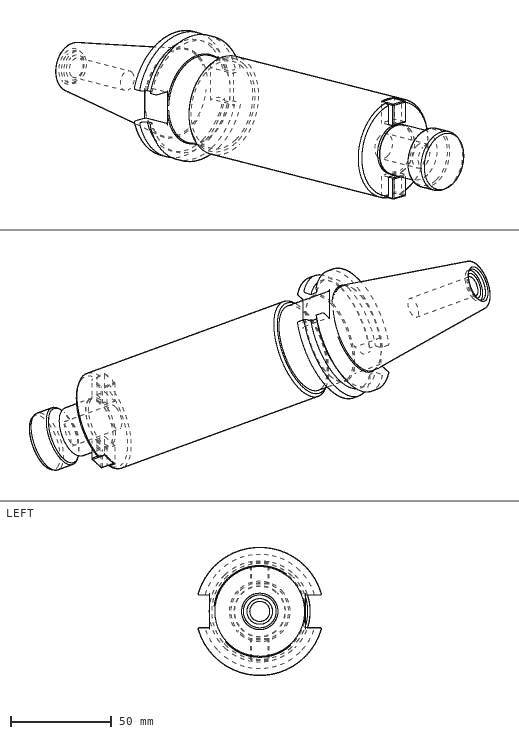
import cadquery as cq
import math

TAPER_END = 68.5
FLANGE_START = 71.5
FLANGE_END = 87.0
NECK_END = 102.7
BARREL_END = 220.7
RELIEF_END = 222.2
PILOT_END = 238.5
HEAD_START = 243.0
HEAD_END = 254.2

GAUGE_DIAMETER = 44.5
TAPER_RATIO = 7 / 24
FLANGE_DIAMETER = 63.5
BARREL_DIAMETER = 50.0
RELIEF_DIAMETER = 25.0
PILOT_DIAMETER = 25.5

TAPER_TIP_FILLET = 2.0
FLANGE_FILLET = 0.8
FLANGE_ROOT_FILLET = 0.5
BARREL_CHAMFER = 1.3
PILOT_FILLET = 1.8

GROOVE_CENTER = (FLANGE_START + FLANGE_END) / 2
GROOVE_FLOOR_WIDTH = 3.3
GROOVE_FLOOR_DIAMETER = 56.7
GROOVE_FLANK_ANGLE = 30

SLOT_WIDTH = 16.0
SLOT_FLOOR_FRONT = 22.6
SLOT_FLOOR_BACK = 25.0

MOUTH_DIAMETER = 18.0
COUNTERBORE_DIAMETER = 16.3
COUNTERBORE_DEPTH = 2.5
THREAD_MOUTH_DIAMETER = 12.7
THREAD_HOLE_DIAMETER = 10.0
THREAD_LEAD_IN_LENGTH = 0.8
DRAWBAR_HOLE_DEPTH = 38.1

KEY_START = 216.0
KEY_END = 224.0
KEY_WIDTH = 9.5
KEY_INNER = 13.5
KEY_OUTER = 24.5
KEY_CHAMFER = 0.5

SHANK_DIAMETER = 12.7
SHANK_DEPTH = 25.5
HEAD_DIAMETER = 30.0
HEAD_BACK_CHAMFER = 0.8
HEAD_FRONT_CHAMFER_LENGTH = 1.5
HEAD_FRONT_CHAMFER_DEPTH = 0.8
SHANK_ROOT_FILLET = 0.8

PICK_MARGIN = 1.3
STATION_TOLERANCE = 0.03


def cylinder(diameter, start, end):
    """Round bar along X between two stations."""
    return cq.Workplane("YZ", origin=(start, 0, 0)).circle(diameter / 2).extrude(end - start)


def cone(start_diameter, end_diameter, start, end):
    """Tapered round bar along X between two stations."""
    profile = [(start, 0), (end, 0), (end, end_diameter / 2), (start, start_diameter / 2)]
    return cq.Workplane("XY").polyline(profile).close().revolve(360, (0, 0, 0), (1, 0, 0))


def make_taper():
    tip_diameter = GAUGE_DIAMETER - TAPER_RATIO * TAPER_END
    taper = cone(tip_diameter, GAUGE_DIAMETER, 0, TAPER_END)
    return taper.faces("<X").edges().fillet(TAPER_TIP_FILLET)


def make_groove():
    """Ring with sloping flanks that is cut from the flange rim."""
    floor = GROOVE_FLOOR_DIAMETER / 2
    rim = FLANGE_DIAMETER / 2
    half_floor = GROOVE_FLOOR_WIDTH / 2
    half_rim = half_floor + (rim - floor) * math.tan(math.radians(GROOVE_FLANK_ANGLE))
    profile = [
        (GROOVE_CENTER - half_floor, floor),
        (GROOVE_CENTER + half_floor, floor),
        (GROOVE_CENTER + half_rim, rim),
        (GROOVE_CENTER - half_rim, rim),
    ]
    return cq.Workplane("XY").polyline(profile).close().revolve(360, (0, 0, 0), (1, 0, 0))


def make_driving_slot(side, floor):
    """Block that opens one driving slot, across the flange and its root fillets."""
    length = FLANGE_END - FLANGE_START + 2 * FLANGE_ROOT_FILLET
    depth = FLANGE_DIAMETER / 2 - floor
    middle = (GROOVE_CENTER, side * (floor + depth / 2), 0)
    return cq.Workplane(origin=middle).box(length, depth, SLOT_WIDTH)


def is_flange_rim_edge(edge):
    """True for the outer edges of the flange and of its slots, false for the slot floors and roots."""
    x = edge.Center().x
    in_flange = FLANGE_START - STATION_TOLERANCE <= x <= FLANGE_END + STATION_TOLERANCE
    is_root = edge.geomType() == "CIRCLE" and edge.radius() < SLOT_FLOOR_BACK
    reach = max(abs(vertex.Y) for vertex in edge.Vertices())
    return in_flange and not is_root and reach > SLOT_FLOOR_BACK + PICK_MARGIN


def make_flanged_neck():
    """Straight neck from the gauge plane to the barrel, with the slotted and grooved flange."""
    neck = cylinder(GAUGE_DIAMETER, TAPER_END, NECK_END)
    neck = neck.union(cylinder(FLANGE_DIAMETER, FLANGE_START, FLANGE_END))
    flange_zone = cq.selectors.BoxSelector(
        (FLANGE_START - PICK_MARGIN, -FLANGE_DIAMETER, -FLANGE_DIAMETER),
        (FLANGE_END + PICK_MARGIN, FLANGE_DIAMETER, FLANGE_DIAMETER),
    )
    smallest_circles = neck.edges("%CIRCLE").edges(cq.selectors.RadiusNthSelector(0))
    neck = smallest_circles.edges(flange_zone).fillet(FLANGE_ROOT_FILLET)
    for side, floor in ((-1, SLOT_FLOOR_FRONT), (1, SLOT_FLOOR_BACK)):
        neck = neck.cut(make_driving_slot(side, floor))
    rim_edges = [edge for edge in neck.edges().vals() if is_flange_rim_edge(edge)]
    neck = neck.newObject(rim_edges).fillet(FLANGE_FILLET)
    return neck.cut(make_groove())


def make_barrel():
    return cylinder(BARREL_DIAMETER, NECK_END, BARREL_END).edges("%CIRCLE").chamfer(BARREL_CHAMFER)


def make_pilot():
    pilot = cylinder(PILOT_DIAMETER, RELIEF_END, PILOT_END)
    return pilot.faces(">X").edges().fillet(PILOT_FILLET)


def make_drawbar_hole():
    """Countersunk counterbore that leads into the blind thread hole."""
    rim_depth = (MOUTH_DIAMETER - COUNTERBORE_DIAMETER) / 2
    lead_in_end = COUNTERBORE_DEPTH + THREAD_LEAD_IN_LENGTH
    hole = cone(MOUTH_DIAMETER, COUNTERBORE_DIAMETER, 0, rim_depth)
    hole = hole.union(cylinder(COUNTERBORE_DIAMETER, rim_depth, COUNTERBORE_DEPTH))
    hole = hole.union(cone(THREAD_MOUTH_DIAMETER, THREAD_HOLE_DIAMETER, COUNTERBORE_DEPTH, lead_in_end))
    return hole.union(cylinder(THREAD_HOLE_DIAMETER, lead_in_end, DRAWBAR_HOLE_DEPTH))


def make_key_seat(side):
    """Slot in the barrel face, open outward, that a key sits in."""
    length = BARREL_END - KEY_START
    depth = BARREL_DIAMETER / 2 - KEY_INNER
    middle = (KEY_START + length / 2, 0, side * (KEY_INNER + depth / 2))
    return cq.Workplane(origin=middle).box(length, KEY_WIDTH, depth)


def make_holder():
    holder = make_taper()
    holder = holder.union(make_flanged_neck())
    holder = holder.union(make_barrel())
    holder = holder.union(cylinder(RELIEF_DIAMETER, BARREL_END, RELIEF_END))
    holder = holder.union(make_pilot())
    holder = holder.cut(make_drawbar_hole())
    for side in (-1, 1):
        holder = holder.cut(make_key_seat(side))
    return holder.cut(cylinder(SHANK_DIAMETER, PILOT_END - SHANK_DEPTH, PILOT_END))


def make_key(side):
    """Drive key on the +Z or -Z side, chamfered on its exposed edges."""
    length = KEY_END - KEY_START
    height = KEY_OUTER - KEY_INNER
    middle = (KEY_START + length / 2, 0, side * (KEY_INNER + height / 2))
    key = cq.Workplane(origin=middle).box(length, KEY_WIDTH, height)
    outer_face = ">Z" if side > 0 else "<Z"
    return key.edges(f">X or ({outer_face} and |X)").chamfer(KEY_CHAMFER)


def make_screw():
    """Locking screw whose shank sits in the pilot."""
    chamfer_start = HEAD_END - HEAD_FRONT_CHAMFER_LENGTH
    front_diameter = HEAD_DIAMETER - 2 * HEAD_FRONT_CHAMFER_DEPTH
    head = cylinder(HEAD_DIAMETER, HEAD_START, chamfer_start)
    head = head.faces("<X").edges().chamfer(HEAD_BACK_CHAMFER)
    head = head.union(cone(HEAD_DIAMETER, front_diameter, chamfer_start, HEAD_END))
    screw = head.union(cylinder(SHANK_DIAMETER, PILOT_END - SHANK_DEPTH, HEAD_START))
    root = cq.selectors.NearestToPointSelector((HEAD_START, 0, 0))
    return screw.edges("%CIRCLE").edges(root).fillet(SHANK_ROOT_FILLET)


holder = make_holder()
keys = [make_key(side) for side in (-1, 1)]
screw = make_screw()

result = cq.Compound.makeCompound([holder.val(), *[key.val() for key in keys], screw.val()])